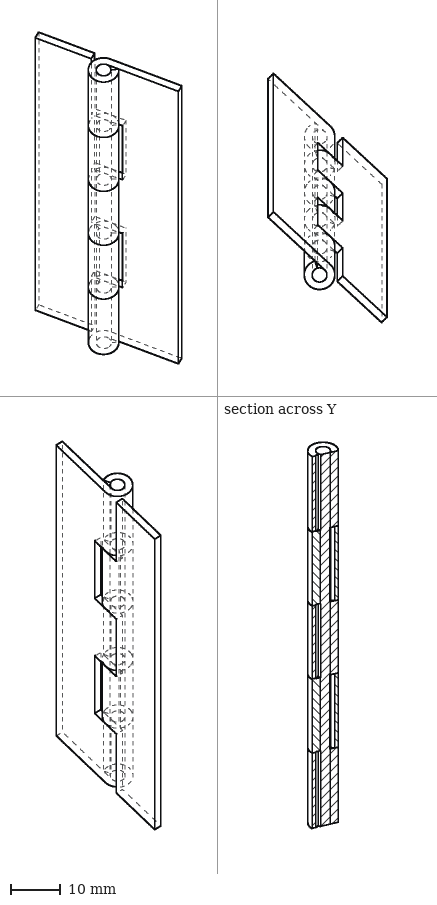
import cadquery as cq
import math

hinge_width = 32.0
hinge_length = 90.0
sheet = 1.6
pin_radius = 1.5
leaf_clearance = 0.4
curl_tip_gap = 0.05
end_knuckle_length = 18.3
knuckle_count = 5

knuckle_radius = pin_radius + sheet
plate_outer_edge = hinge_width / 2
plate_inner_edge = knuckle_radius + leaf_clearance
inner_knuckle_length = (hinge_length - 2 * end_knuckle_length) / (knuckle_count - 2)
curl_end_angle = math.asin((pin_radius - curl_tip_gap) / knuckle_radius)


def knuckle_spans():
    """(bottom, length) of each knuckle, from the lower end to the upper end."""
    spans = []
    bottom = -hinge_length / 2
    for index in range(knuckle_count):
        is_end = index in (0, knuckle_count - 1)
        length = end_knuckle_length if is_end else inner_knuckle_length
        spans.append((bottom, length))
        bottom += length
    return spans


def around_pin(radius, angle):
    return (radius * math.cos(angle), radius * math.sin(angle))


def make_knuckle(bottom, length):
    """Sheet curled round the pin, with a flat part reaching out to the plate."""
    far_side_angle = curl_end_angle + math.pi
    return (
        cq.Workplane("XY", origin=(0, 0, bottom))
        .moveTo(plate_inner_edge, knuckle_radius)
        .lineTo(0, knuckle_radius)
        .threePointArc(
            around_pin(knuckle_radius, far_side_angle),
            around_pin(knuckle_radius, curl_end_angle),
        )
        .lineTo(*around_pin(pin_radius, curl_end_angle))
        .threePointArc(around_pin(pin_radius, far_side_angle), (0, pin_radius))
        .lineTo(plate_inner_edge, pin_radius)
        .close()
        .extrude(length)
    )


def make_plate():
    """Flat plate of a leaf on the +X side, level with the +Y side of the knuckles."""
    plate_width = plate_outer_edge - plate_inner_edge
    return (
        cq.Workplane("XY")
        .box(plate_width, sheet, hinge_length, centered=(False, False, True))
        .translate((plate_inner_edge, pin_radius, 0))
    )


def make_leaf(spans):
    """Leaf on the +X side: a plate carrying one knuckle per span."""
    leaf = make_plate()
    for bottom, length in spans:
        leaf = leaf.union(make_knuckle(bottom, length))
    return leaf


def make_pin():
    return cq.Workplane("XY").circle(pin_radius).extrude(hinge_length / 2, both=True)


all_spans = knuckle_spans()
three_knuckle_leaf = make_leaf(all_spans[0::2])
two_knuckle_leaf = make_leaf(all_spans[1::2]).mirror("YZ")
pin = make_pin()

bodies = [three_knuckle_leaf, two_knuckle_leaf, pin]
result = cq.Compound.makeCompound([body.solids().val() for body in bodies])